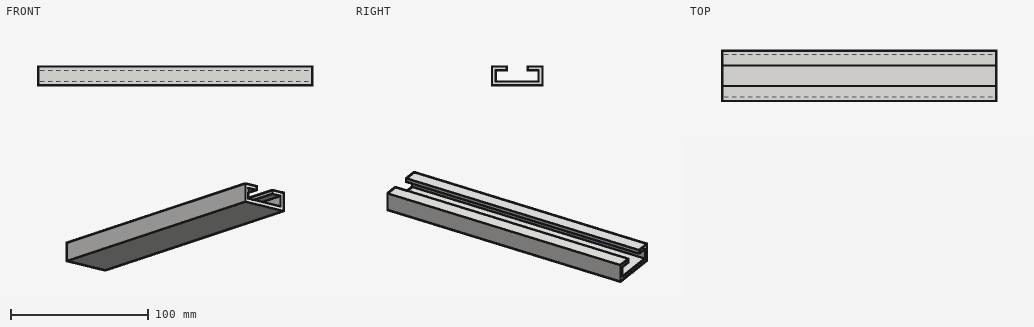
import cadquery as cq

length = 200.0
width = 37.0
height = 14.0

wall = 3.0
slot_width = 15.0

bar = cq.Workplane("XY").box(length, width, height)

cavity = cq.Workplane("XY").box(length, width - 2 * wall, height - 2 * wall)

slot = cq.Workplane("XY").box(length, slot_width, height / 2, centered=(True, True, False))

result = bar.cut(cavity).cut(slot)